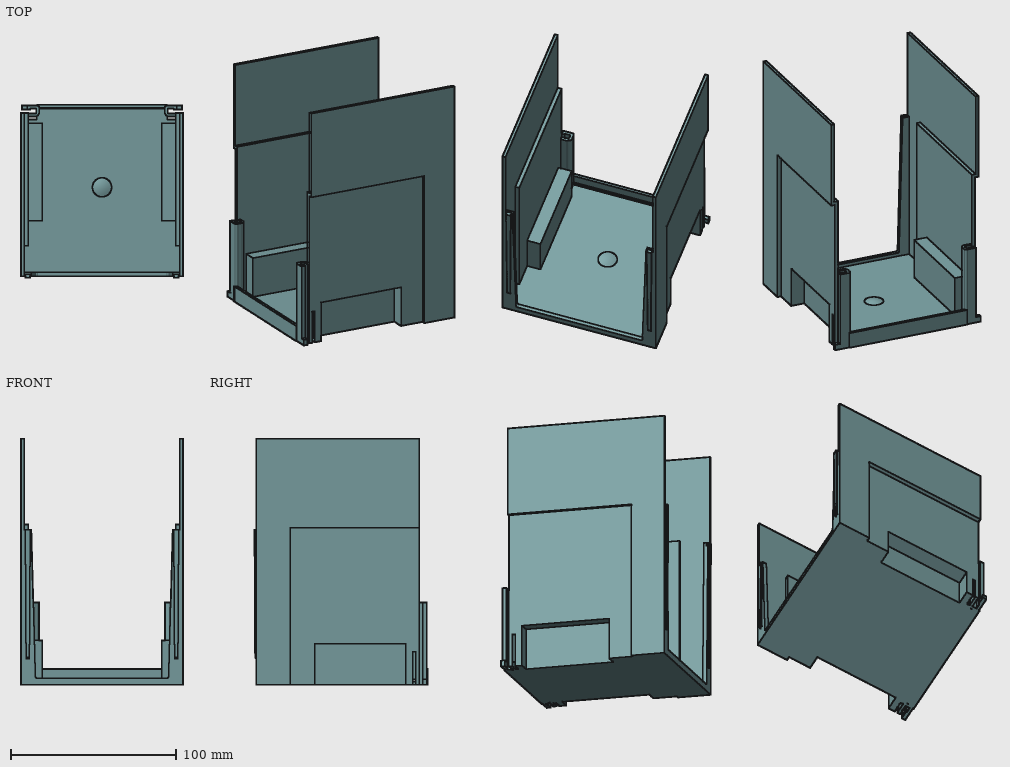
import cadquery as cq

WIDTH = 98.0
HEIGHT = 149.0
DEPTH = 98.8
HALF = WIDTH / 2
WALL = 2.0
FLOOR = 2.0

FRAME_DEPTH = 2.5
LIP_TOP = 4.2
CHEEK_TOP = 94.0
CHEEK_FOOT_X = 40.3
CHEEK_HEAD_X = 42.7
CHEEK_FILLET = 1.0

PANEL_WALL = 2.1
PANEL_STEP = 2.4
PANEL_FRONT = 20.7
PANEL_TOP = 95.0
PANEL_OUTER_X = HALF - PANEL_STEP
PANEL_INNER_X = PANEL_OUTER_X - PANEL_WALL

BOX_WALL = 2.0
BOX_FRONT = 35.5
BOX_REAR = 90.5
BOX_TOP = 25.0
BOX_OUTER_X = 38.0

GUIDE_WALL = 1.9
GUIDE_REAR = 103.3
GUIDE_INNER_X = 38.0
GUIDE_TIP_X = 45.3
GUIDE_HEIGHT = 50.0
GUIDE_FRONT_RADIUS = 2.6
GUIDE_REAR_RADIUS = 1.3
GUIDE_LIP_WIDTH = 2.0
GUIDE_LIP_DROP = 0.6
GUIDE_FRONT = 96.6
TAB_X = 48.4
SILL_TOP = 3.6
BAR_HALF = 39.3
BAR_FRONT = 102.0
BAR_TOP = 9.8
OVERALL_DEPTH = 104.79

SLOT_WIDTH = 1.7
SLOT_INNER_X = 39.6
SLOT_TOP = 3.2
GROOVE_TOP = 20.0
GROOVE_DEPTH = 1.2

DOME_RADIUS = 5.8
DOME_RISE = 1.2
DOME_Y = 53.8

STRIP_FOOT = 15.8
STRIP_FOOT_X = (43.9, 45.9)
STRIP_HEAD_X = (43.4, 46.4)
STRIP_INSET = 1.2
STRIP_HEAD_PROUD = 1.0
STRIP_FOOT_PROUD = 0.6
STRIP_FOOT_CHAMFER = 1.0

SIDES = (-1, 1)
BAR_REAR = OVERALL_DEPTH - STRIP_HEAD_PROUD


def block(x0, x1, y0, y1, z0, z1):
    """Box between opposite corners; the X limits may come in either order."""
    return cq.Workplane("XY").box(abs(x1 - x0), y1 - y0, z1 - z0, centered=False).translate(
        (min(x0, x1), y0, z0)
    )


def make_strip(side):
    """Strip that widens and stands further out towards its head, with a bevelled foot."""
    head_inner, head_outer = STRIP_HEAD_X
    foot_inner, foot_outer = STRIP_FOOT_X
    face = [
        (side * foot_inner, STRIP_FOOT),
        (side * foot_outer, STRIP_FOOT),
        (side * head_outer, CHEEK_TOP),
        (side * head_inner, CHEEK_TOP),
    ]
    section = [
        (STRIP_INSET, STRIP_FOOT),
        (0, STRIP_FOOT),
        (-STRIP_FOOT_PROUD, STRIP_FOOT + STRIP_FOOT_CHAMFER),
        (-STRIP_HEAD_PROUD, CHEEK_TOP),
        (STRIP_INSET, CHEEK_TOP),
    ]
    front = cq.Workplane("XZ").polyline(face).close().extrude(2 * STRIP_INSET, both=True)
    profile = cq.Workplane("YZ").polyline(section).close().extrude(HALF, both=True)
    return front.intersect(profile)


def front_frame():
    """U-shaped frame whose cheeks get thinner upwards."""
    fillet_top = LIP_TOP + CHEEK_FILLET
    lip_half = CHEEK_FOOT_X - CHEEK_FILLET
    outline = (
        cq.Workplane("XZ")
        .moveTo(-HALF, 0)
        .lineTo(HALF, 0)
        .lineTo(HALF, CHEEK_TOP)
        .lineTo(CHEEK_HEAD_X, CHEEK_TOP)
        .lineTo(CHEEK_FOOT_X, fillet_top)
        .radiusArc((lip_half, LIP_TOP), CHEEK_FILLET)
        .lineTo(-lip_half, LIP_TOP)
        .radiusArc((-CHEEK_FOOT_X, fillet_top), CHEEK_FILLET)
        .lineTo(-CHEEK_HEAD_X, CHEEK_TOP)
        .lineTo(-HALF, CHEEK_TOP)
        .close()
    )
    return outline.extrude(-FRAME_DEPTH)


def side_wall(side):
    """Outer wall with the thickened band behind which the panel is stepped in."""
    wall = block(side * (HALF - WALL), side * HALF, 0, DEPTH, 0, HEIGHT)
    panel = block(
        side * PANEL_INNER_X, side * HALF, PANEL_FRONT - PANEL_WALL, DEPTH, 0, PANEL_TOP + PANEL_WALL
    )
    box = block(
        side * (BOX_OUTER_X - BOX_WALL), side * PANEL_INNER_X,
        BOX_FRONT - BOX_WALL, BOX_REAR + BOX_WALL, 0, BOX_TOP + BOX_WALL,
    )
    return wall.union(panel).union(box)


def side_recesses(side):
    """Material missing outside one panel, inside its box, and in its narrow slot."""
    panel = block(side * PANEL_OUTER_X, side * HALF, PANEL_FRONT, DEPTH, 0, PANEL_TOP)
    box = block(side * BOX_OUTER_X, side * HALF, BOX_FRONT, BOX_REAR, 0, BOX_TOP)
    slot_front = GUIDE_FRONT - SLOT_WIDTH
    slot = block(side * SLOT_INNER_X, side * HALF, slot_front, GUIDE_FRONT, 0, SLOT_TOP)
    groove = block(
        side * (PANEL_OUTER_X - GROOVE_DEPTH), side * HALF, slot_front, GUIDE_FRONT, 0, GROOVE_TOP
    )
    return panel.union(box).union(slot).union(groove)


def guide_channel(side):
    """C-shaped channel open to the outside, with a lip on its rear arm and a tab at its foot."""
    body = block(side * GUIDE_INNER_X, side * PANEL_INNER_X, GUIDE_FRONT, GUIDE_REAR, 0, GUIDE_HEIGHT)
    inner_face = "<X" if side > 0 else ">X"
    body = body.faces(inner_face).edges("|Z and <Y").fillet(GUIDE_FRONT_RADIUS)
    body = body.faces(inner_face).edges("|Z and >Y").fillet(GUIDE_REAR_RADIUS)
    arm_front = GUIDE_REAR - GUIDE_WALL
    cavity_x = GUIDE_INNER_X + GUIDE_WALL
    cavity = block(
        side * cavity_x, side * PANEL_INNER_X, GUIDE_FRONT + GUIDE_WALL, arm_front, 0, GUIDE_HEIGHT
    )
    lip_front = arm_front - GUIDE_LIP_DROP
    lip = block(
        side * (GUIDE_TIP_X - GUIDE_LIP_WIDTH), side * GUIDE_TIP_X, lip_front, GUIDE_REAR, 0, GUIDE_HEIGHT
    )
    tab = block(side * (GUIDE_TIP_X - GUIDE_LIP_WIDTH), side * TAB_X, lip_front, GUIDE_REAR, 0, SILL_TOP)
    return body.cut(cavity).union(lip).union(tab)


def rear_edge():
    """Low sill between the guides with a higher bar standing along its rear."""
    sill = block(-GUIDE_INNER_X, GUIDE_INNER_X, GUIDE_REAR - GUIDE_WALL, GUIDE_REAR, 0, SILL_TOP)
    bar = block(-BAR_HALF, BAR_HALF, BAR_FRONT, BAR_REAR, 0, BAR_TOP)
    return sill.union(bar)


def dome():
    """Spherical cap resting on the floor."""
    sphere_radius = (DOME_RADIUS**2 + DOME_RISE**2) / (2 * DOME_RISE)
    sphere = cq.Workplane("XY").sphere(sphere_radius).translate(
        (0, DOME_Y, FLOOR + DOME_RISE - sphere_radius)
    )
    column = cq.Workplane("XY").center(0, DOME_Y).circle(2 * DOME_RADIUS).extrude(FLOOR + DOME_RISE)
    return sphere.intersect(column)


def make_housing():
    floor = block(-HALF, HALF, 0, GUIDE_FRONT + GUIDE_WALL, 0, FLOOR)
    rear_floor = block(-GUIDE_INNER_X, GUIDE_INNER_X, 0, GUIDE_REAR, 0, FLOOR)
    body = floor.union(rear_floor).union(front_frame()).union(rear_edge()).union(dome())
    for side in SIDES:
        body = body.union(side_wall(side)).cut(side_recesses(side))
        body = body.union(guide_channel(side)).cut(make_strip(side))
    return body


housing = make_housing()
strips = [make_strip(side) for side in SIDES]

result = cq.Compound.makeCompound([housing.val(), *[strip.val() for strip in strips]])